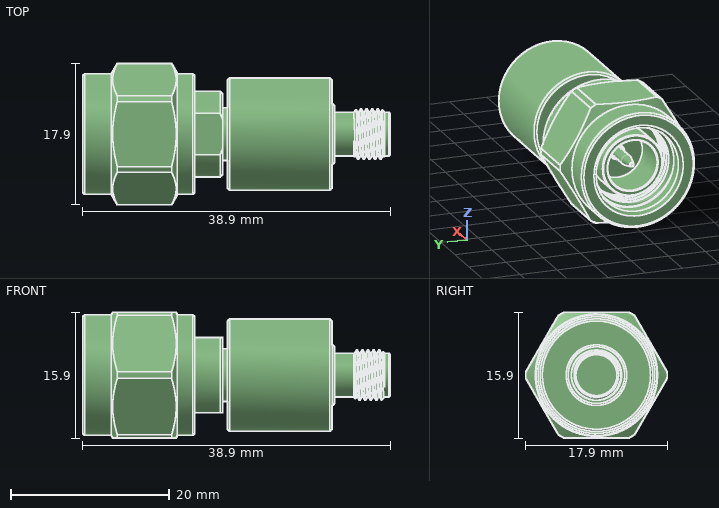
import cadquery as cq
import math

length = 38.86
inch = 25.4

nut_diameter = 15.25
nut_length = 14.19
nut_chamfer = 0.25
hex_across_flats = 15.88
hex_corner_diameter = 17.88
hex_start = 3.56
hex_end = 11.95
hex_front_corner = 4.38
hex_rear_corner = 11.25
hex_cone_angle = 60.0
hex_half_sector = 30.0

mouth_diameter = 12.05
relief_diameter = 11.11
nut_thread_minor_diameter = 10.1
nut_threads_per_inch = 28
nut_pitch = inch / nut_threads_per_inch
nut_thread_diameter = 11.05
nut_groove_width = 0.12
nut_groove_crest = 2.7
relief_end = 2.1
socket_floor = 6.0

sleeve_outer_diameter = 8.08
sleeve_bore_diameter = 6.66
sleeve_rim = 2.1
sleeve_chamfer = 0.1
insulator_face = 7.5
pin_well_diameter = 1.91
pin_well_depth = 0.5
pin_diameter = 1.37
pin_tip_diameter = 0.58
pin_tip_chamfer = 0.1
pin_tip = 2.35
pin_cone_length = 2.0

collar_diameter = 10.87
collar_across_flats = 9.52
collar_end = 17.72
collar_chamfer = 0.36

neck_diameter = 6.72
barrel_start = 18.28
barrel_end = 31.5
barrel_diameter = 14.22
barrel_chamfer = 0.28
flange_diameter = 7.65
flange_end = 31.85
flange_chamfer = 0.25

jack_diameter = 5.58
jack_chamfer = 0.2
jack_thread_diameter = 6.35
jack_threads_per_inch = 36
jack_pitch = inch / jack_threads_per_inch
jack_thread_start = 34.2
jack_thread_end = 38.15
jack_crest_width = 0.1
jack_thread_crest = 33.92

thread_flank_angle = 30.0
thread_overlap = 0.06
spare_turns = 2


def revolved(points):
    """Solid of revolution about the X axis from (x, diameter) points, closed along the axis."""
    first_x = points[0][0]
    last_x = points[-1][0]
    outline = [(first_x, 0)] + [(x, diameter / 2) for x, diameter in points] + [(last_x, 0)]
    return cq.Workplane("XY").polyline(outline).close().revolve(360, (0, 0, 0), (1, 0, 0))


def rod(start, end, diameter, front_chamfer=0.0, rear_chamfer=0.0):
    """Cylinder along X with optional 45 degree chamfers on its end edges."""
    points = []
    if front_chamfer:
        points.append((start, diameter - 2 * front_chamfer))
    points.append((start + front_chamfer, diameter))
    points.append((end - rear_chamfer, diameter))
    if rear_chamfer:
        points.append((end, diameter - 2 * rear_chamfer))
    return revolved(points)


def coupling_nut():
    """Round nut with a hexagon whose corners are turned down by a cone at each end."""
    slope = 2 * math.tan(math.radians(hex_cone_angle))
    front_diameter = hex_corner_diameter - slope * (hex_front_corner - hex_start)
    rear_diameter = hex_corner_diameter - slope * (hex_end - hex_rear_corner)
    envelope = revolved([
        (hex_start, front_diameter),
        (hex_front_corner, hex_corner_diameter),
        (hex_rear_corner, hex_corner_diameter),
        (hex_end, rear_diameter),
    ])
    across_corners = hex_across_flats / math.cos(math.radians(hex_half_sector))
    hexagon = (
        cq.Workplane("YZ", origin=(hex_start, 0, 0))
        .polygon(6, across_corners)
        .extrude(hex_end - hex_start)
        .intersect(envelope)
    )
    return rod(0, nut_length, nut_diameter, nut_chamfer, nut_chamfer).union(hexagon)


def nut_opening():
    """Cavity of the nut: countersunk mouth, relief bore, then a cone down to the thread bore."""
    mouth_depth = (mouth_diameter - relief_diameter) / 2
    cone_depth = (relief_diameter - nut_thread_minor_diameter) / 2
    return revolved([
        (0, mouth_diameter),
        (mouth_depth, relief_diameter),
        (relief_end, relief_diameter),
        (relief_end + cone_depth, nut_thread_minor_diameter),
        (socket_floor, nut_thread_minor_diameter),
    ])


def plug_bore():
    """Bore of the sleeve down to the insulator face, with a shallow well around the pin."""
    return revolved([
        (sleeve_rim, sleeve_bore_diameter + 2 * sleeve_chamfer),
        (sleeve_rim + sleeve_chamfer, sleeve_bore_diameter),
        (insulator_face, sleeve_bore_diameter),
        (insulator_face, pin_well_diameter),
        (insulator_face + pin_well_depth, pin_well_diameter),
    ])


def center_pin():
    """Conical-nosed pin standing on the floor of its well."""
    return revolved([
        (pin_tip, pin_tip_diameter - 2 * pin_tip_chamfer),
        (pin_tip + pin_tip_chamfer, pin_tip_diameter),
        (pin_tip + pin_cone_length, pin_diameter),
        (insulator_face + pin_well_depth, pin_diameter),
    ])


def wrench_collar():
    """Collar with two flats facing +Z and -Z."""
    collar = rod(nut_length, collar_end, collar_diameter, rear_chamfer=collar_chamfer)
    between_flats = cq.Workplane("XY").box(2 * length, 2 * collar_diameter, collar_across_flats)
    return collar.intersect(between_flats)


def helical_ridge(root_radius, crest_radius, crest_width, pitch, turns, first_crest):
    """Right-hand 60 degree ridge about X; its helix starts on the +Z side at first_crest."""
    half_crest = crest_width / 2
    height = abs(crest_radius - root_radius)
    half_root = half_crest + height * math.tan(math.radians(thread_flank_angle))
    path = cq.Wire.makeHelix(pitch, turns * pitch, root_radius)
    return (
        cq.Workplane("XZ")
        .polyline([
            (root_radius, -half_root),
            (crest_radius, -half_crest),
            (crest_radius, half_crest),
            (root_radius, half_root),
        ])
        .close()
        .sweep(cq.Workplane(path), isFrenet=True)
        .rotate((0, 0, 0), (0, 1, 0), 90)
        .rotate((0, 0, 0), (1, 0, 0), 180)
        .translate((first_crest, 0, 0))
    )


def jack_thread():
    """External ridge, tapered to nothing at both ends by 45 degree cones."""
    root_radius = jack_diameter / 2 - thread_overlap
    crest_radius = jack_thread_diameter / 2
    turns = math.ceil((jack_thread_end - jack_thread_start) / jack_pitch) + spare_turns
    first_crest = jack_thread_crest - jack_pitch
    ridge = helical_ridge(root_radius, crest_radius, jack_crest_width, jack_pitch, turns, first_crest)
    taper = crest_radius - root_radius
    envelope_diameter = jack_thread_diameter + thread_overlap
    return ridge.intersect(rod(jack_thread_start, jack_thread_end, envelope_diameter, taper, taper))


def nut_thread_groove():
    """Helical groove that leaves the internal thread standing in the bore of the nut."""
    root_radius = nut_thread_minor_diameter / 2 - thread_overlap
    crest_radius = nut_thread_diameter / 2
    turns = math.ceil((socket_floor - relief_end) / nut_pitch) + spare_turns
    first_crest = nut_groove_crest - nut_pitch
    groove = helical_ridge(root_radius, crest_radius, nut_groove_width, nut_pitch, turns, first_crest)
    return groove.intersect(rod(relief_end, socket_floor, nut_diameter))


result = (
    coupling_nut()
    .cut(nut_opening())
    .cut(nut_thread_groove())
    .union(rod(sleeve_rim, socket_floor, sleeve_outer_diameter, sleeve_chamfer))
    .cut(plug_bore())
    .union(center_pin())
    .union(wrench_collar())
    .union(rod(collar_end, barrel_start, neck_diameter))
    .union(rod(barrel_start, barrel_end, barrel_diameter, barrel_chamfer, barrel_chamfer))
    .union(rod(barrel_end, flange_end, flange_diameter, rear_chamfer=flange_chamfer))
    .union(rod(flange_end, length, jack_diameter, rear_chamfer=jack_chamfer))
    .union(jack_thread())
)